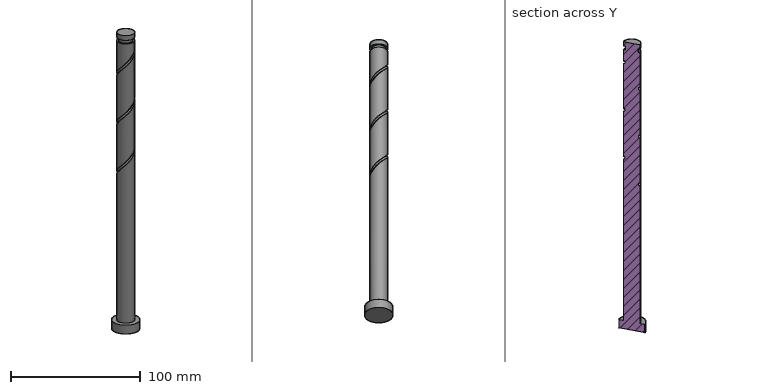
import cadquery as cq

length = 250.0
head_diameter = 22.0
head_height = 7.5
shaft_diameter = 14.0

collar_height = 4.0
neck_height = 3.0
neck_diameter = 11.0

spiral_pitch = 41.5
spiral_turns = 3
spiral_start_height = 118.0
spiral_start_angle = 90.0
spiral_tool_radius = 1.2

shaft_radius = shaft_diameter / 2
neck_top = length - collar_height
neck_bottom = neck_top - neck_height


def disc(diameter, bottom, top):
    """Solid cylinder on the Z axis between two heights."""
    return cq.Workplane("XY").workplane(offset=bottom).circle(diameter / 2).extrude(top - bottom)


def pin_body():
    """Headed shaft with a reduced neck beneath the end collar."""
    head = disc(head_diameter, 0, head_height)
    shaft = disc(shaft_diameter, head_height, neck_bottom)
    neck = disc(neck_diameter, neck_bottom, neck_top)
    collar = disc(shaft_diameter, neck_top, length)
    return head.union(shaft).union(neck).union(collar)


def spiral_cutter():
    """Round bar wound around the shaft, centred on its surface."""
    path = cq.Wire.makeHelix(spiral_pitch, spiral_pitch * spiral_turns, shaft_radius)
    cutter = (
        cq.Workplane("XZ")
        .center(shaft_radius, 0)
        .circle(spiral_tool_radius)
        .sweep(cq.Workplane(obj=path), isFrenet=True)
    )
    return cutter.rotate((0, 0, 0), (0, 0, 1), spiral_start_angle).translate((0, 0, spiral_start_height))


result = pin_body().cut(spiral_cutter())